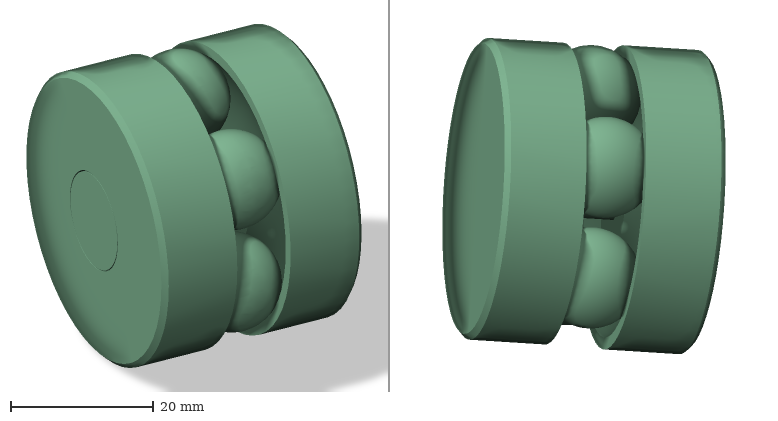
import cadquery as cq
import math

front_race_diameter = 42.85
back_race_diameter = 42.5
overall_length = 31.75
race_gap = 8.55
race_thickness = (overall_length - race_gap) / 2
front_face_y = -overall_length / 2
rim_chamfer = 0.77

ball_count = 5
ball_diameter = 14.25
ball_circle_radius = 14.05
first_ball_angle = 180.0

pin_diameter = 6.35
front_bore_diameter = 6.6
head_diameter = 14.3
counterbore_diameter = 14.65
head_height = 4.0


def cylinder_along_y(diameter, start_y, length):
    """Cylinder on the Y axis, running toward +Y from start_y."""
    return cq.Workplane("XZ", origin=(0, start_y, 0)).circle(diameter / 2).extrude(-length)


def make_ball_track():
    """Ring swept by a ball travelling round the Y axis."""
    return (
        cq.Workplane("XY")
        .center(ball_circle_radius, 0)
        .circle(ball_diameter / 2)
        .revolve(360, (-ball_circle_radius, 0, 0), (-ball_circle_radius, 1, 0))
    )


def make_front_race():
    """Front disc with ball groove, clearance bore and counterbore for the pin head."""
    disc = cylinder_along_y(front_race_diameter, front_face_y, race_thickness)
    disc = disc.faces("<Y").chamfer(rim_chamfer)
    bore = cylinder_along_y(front_bore_diameter, front_face_y, race_thickness)
    counterbore = cylinder_along_y(counterbore_diameter, front_face_y, head_height)
    return disc.cut(make_ball_track()).cut(bore).cut(counterbore)


def make_back_race():
    """Back disc with ball groove and a through hole that fits the pin."""
    inner_face_y = race_gap / 2
    disc = cylinder_along_y(back_race_diameter, inner_face_y, race_thickness)
    disc = disc.faces(">Y").chamfer(rim_chamfer)
    hole = cylinder_along_y(pin_diameter, inner_face_y, race_thickness)
    return disc.cut(make_ball_track()).cut(hole)


def make_pin():
    """Pin with its head flush in the front race and its end flush with the back race."""
    head = cylinder_along_y(head_diameter, front_face_y, head_height)
    shank = cylinder_along_y(pin_diameter, front_face_y, overall_length)
    return head.union(shank)


def make_ball(index):
    """One ball of the evenly spaced set, centred midway between the races."""
    angle = math.radians(first_ball_angle + index * 360 / ball_count)
    center = (ball_circle_radius * math.cos(angle), 0, ball_circle_radius * math.sin(angle))
    return cq.Workplane("XY").sphere(ball_diameter / 2).translate(center)


front_race = make_front_race()
back_race = make_back_race()
pin = make_pin()
balls = [make_ball(index) for index in range(ball_count)]

result = cq.Compound.makeCompound(
    [front_race.val(), back_race.val(), pin.val(), *[ball.val() for ball in balls]]
)